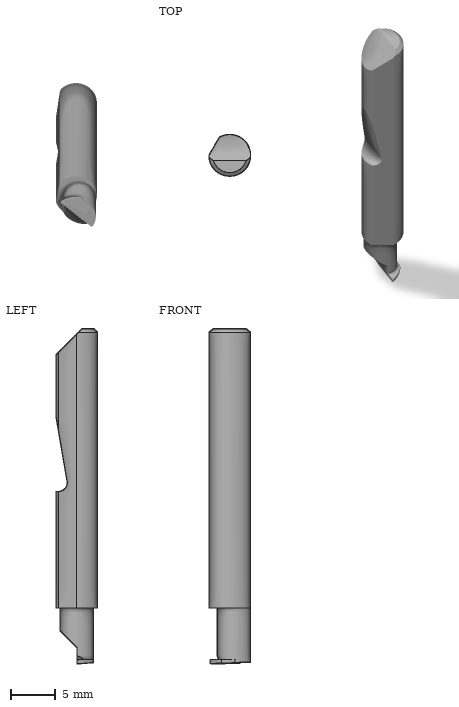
import cadquery as cq
import math

total_length = 38.1
shank_radius = 2.38
shoulder_z = 6.35
top_chamfer = 0.42
locating_flat_angle = 30.0

slope_start_y = -0.6
notch_floor_z = 19.62
notch_top_z = 28.2
notch_depth = 1.3
notch_radius = 1.0

neck_radius = 1.9
neck_offset = shank_radius - neck_radius
neck_bottom_z = 0.2
half_cut_z = 1.85
relief_height = 0.9
relief_depth = 0.15

tooth_tip_x = -2.25
flank_end = (-1.45, -1.37)
flank_bulge = 0.103
heel_corner = (-0.9, -1.83)
facet_end = (0.57, -1.9)
tooth_end_x = 1.15
tooth_top_z = 0.55
tooth_corner = 0.1
tooth_end_rise = 0.08
tooth_back_rise = 0.15

cut_width = 4 * shank_radius


def side_prism(outline):
    """Extrude a YZ outline across the whole bar in X."""
    return outline.close().extrude(cut_width / 2, both=True)


def make_shank():
    length = total_length - shoulder_z
    shank = cq.Workplane("XY").workplane(offset=shoulder_z).circle(shank_radius).extrude(length)
    shank = shank.faces(">Z").chamfer(top_chamfer)

    flat_distance = shank_radius * math.cos(math.radians(locating_flat_angle))
    flat_cut = (
        cq.Workplane("XY")
        .box(cut_width, cut_width, total_length, centered=(True, True, False))
        .translate((-flat_distance - cut_width / 2, 0, 0))
        .rotate((0, 0, 0), (0, 0, 1), -locating_flat_angle)
    )

    slope_reach = 2 * shank_radius
    slope_cut = side_prism(
        cq.Workplane("YZ")
        .moveTo(slope_start_y, total_length)
        .lineTo(slope_start_y + slope_reach, total_length - slope_reach)
        .lineTo(slope_start_y + slope_reach, total_length)
    )

    floor_y = shank_radius - notch_depth
    arc_y = floor_y + notch_radius
    arc_z = notch_floor_z + notch_radius
    arc_middle = notch_radius * math.sqrt(0.5)
    notch_cut = side_prism(
        cq.Workplane("YZ")
        .moveTo(shank_radius, notch_top_z)
        .lineTo(floor_y, arc_z)
        .threePointArc((arc_y - arc_middle, arc_z - arc_middle), (arc_y, notch_floor_z))
        .lineTo(shank_radius, notch_floor_z)
    )
    return shank.cut(flat_cut).cut(slope_cut).cut(notch_cut)


def make_neck():
    neck = (
        cq.Workplane("XY")
        .workplane(offset=neck_bottom_z)
        .center(neck_offset, 0)
        .circle(neck_radius)
        .extrude(shoulder_z - neck_bottom_z)
    )
    half_cut = side_prism(
        cq.Workplane("YZ")
        .moveTo(0, 0)
        .lineTo(0, half_cut_z)
        .lineTo(neck_radius, half_cut_z + neck_radius)
        .lineTo(neck_radius, 0)
    )
    neck_left = neck_offset - neck_radius
    relief_cut = (
        cq.Workplane("XZ")
        .moveTo(neck_left, relief_height)
        .lineTo(neck_left + relief_depth, tooth_top_z)
        .lineTo(neck_left, tooth_top_z)
        .close()
        .extrude(neck_radius)
    )
    return neck.cut(half_cut).cut(relief_cut)


def make_tooth():
    flank_dx = flank_end[0] - tooth_tip_x
    flank_dy = flank_end[1]
    flank_chord = math.hypot(flank_dx, flank_dy)
    flank_middle = (
        tooth_tip_x + flank_dx / 2 + flank_bulge * flank_dy / flank_chord,
        flank_dy / 2 - flank_bulge * flank_dx / flank_chord,
    )
    plan = (
        cq.Workplane("XY")
        .moveTo(tooth_tip_x, 0)
        .threePointArc(flank_middle, flank_end)
        .lineTo(*heel_corner)
        .lineTo(*facet_end)
        .lineTo(tooth_end_x, 0)
        .close()
        .extrude(tooth_top_z)
    )
    elevation = (
        cq.Workplane("XZ")
        .moveTo(tooth_tip_x + tooth_corner, 0)
        .lineTo(tooth_end_x, tooth_end_rise)
        .lineTo(tooth_end_x, tooth_top_z)
        .lineTo(tooth_tip_x + tooth_corner, tooth_top_z)
        .lineTo(tooth_tip_x, tooth_top_z - tooth_corner)
        .lineTo(tooth_tip_x, tooth_corner)
        .close()
        .extrude(2 * neck_radius)
    )
    clearance_cut = side_prism(
        cq.Workplane("YZ")
        .moveTo(0, 0)
        .lineTo(-neck_radius, tooth_back_rise)
        .lineTo(-neck_radius, 0)
    )
    return plan.intersect(elevation).cut(clearance_cut)


result = make_shank().union(make_neck()).union(make_tooth())